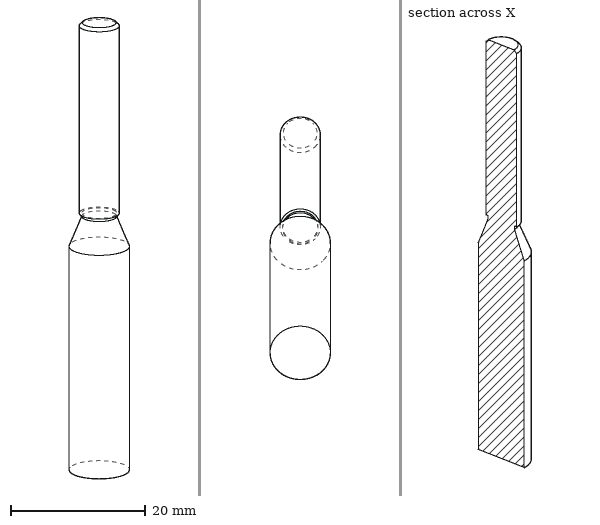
import cadquery as cq

total_length = 70.0
body_diameter = 9.0
body_length = 35.0

shank_diameter = 6.0
shank_start = 40.2
tip_chamfer = 0.5

neck_diameter = 5.25
neck_length = 0.5

body_radius = body_diameter / 2
shank_radius = shank_diameter / 2
neck_radius = neck_diameter / 2
taper_end = shank_start - neck_length

profile = (
    cq.Workplane("XZ")
    .lineTo(body_radius, 0)
    .lineTo(body_radius, body_length)
    .lineTo(neck_radius, taper_end)
    .lineTo(neck_radius, shank_start)
    .lineTo(shank_radius, shank_start)
    .lineTo(shank_radius, total_length - tip_chamfer)
    .lineTo(shank_radius - tip_chamfer, total_length)
    .lineTo(0, total_length)
    .close()
)

result = profile.revolve(360, (0, 0), (0, 1))